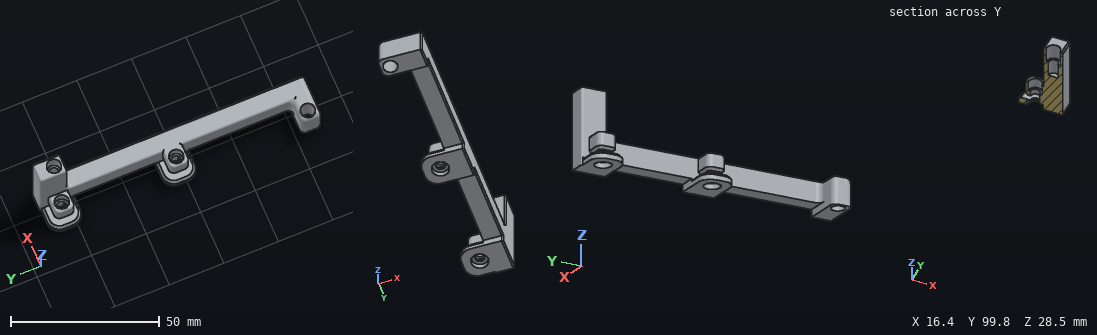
import cadquery as cq


bar_width = 7.1
bar_length = 99.75
bar_bottom = 2.75
bar_top = 10.8
tower_depth = 10.0
tower_height = 28.5
tower_root_radius = 2.0
edge_radius = 0.8
back_chamfer = 0.55

lug_x = -10.3
lug_spacing = 42.0
first_lug_y = -6.55
lug_ys = (first_lug_y, first_lug_y - lug_spacing)
boss_half_width = 3.55
boss_corner_radius = 2.0
boss_bottom = 4.55
boss_bottom_chamfer = 1.0
pad_margin = 2.5
pad_half_width = boss_half_width + pad_margin
pad_corner_radius = boss_corner_radius + pad_margin
pad_reach = 16.38
boss_reach = pad_reach - pad_margin
pad_height = bar_bottom
pad_chamfer = 0.9

rib_half_width = 1.5
rib_front_offset = 1.3

screw_diameter = 3.4
insert_diameter = 5.0
boss_insert_depth = 4.0
pad_recess_depth = 2.0
pad_recess_diameter = 6.0
tower_hole_x = -bar_width / 2
tower_insert_depth = 6.0
tower_pilot_depth = 12.0

foot_reach = 15.85
foot_depth = 7.6
foot_radius = 2.0
foot_hole_diameter = 5.0
foot_hole_x = -12.35

selection_margin = 0.1


def block(x_min, x_max, y_min, y_max, z_min, z_max):
    size = (x_max - x_min, y_max - y_min, z_max - z_min)
    return cq.Workplane("XY").box(*size, centered=False).translate((x_min, y_min, z_min))


def vertical_hole(x, y, z_min, z_max, diameter):
    return cq.Workplane("XY", origin=(x, y, z_min)).circle(diameter / 2).extrude(z_max - z_min)


def make_foot():
    """Tall end foot with rounded free corners and a rounded top rim."""
    y_min = -bar_length
    foot = block(-foot_reach, 0, y_min, y_min + foot_depth, 0, bar_top)
    foot = foot.edges("|Z and <X").fillet(foot_radius)
    return foot.faces(">Z").edges("not >X").fillet(foot_radius)


def make_frame():
    """L-shaped bar and tower with a rounded -X edge, joined to the end foot."""
    bar_end = -bar_length + foot_depth / 2
    frame = (
        cq.Workplane("YZ")
        .moveTo(0, bar_bottom)
        .lineTo(0, tower_height)
        .lineTo(-tower_depth, tower_height)
        .lineTo(-tower_depth, bar_top + tower_root_radius)
        .radiusArc((-tower_depth - tower_root_radius, bar_top), tower_root_radius)
        .lineTo(bar_end, bar_top)
        .lineTo(bar_end, bar_bottom)
        .close()
        .extrude(-bar_width)
    )
    front_edges = frame.faces("<X").edges("not(<Z or <Y)").vals()
    top_edges = frame.faces(">Z").edges("|X").vals()
    frame = frame.newObject(front_edges + top_edges).fillet(edge_radius)
    frame = frame.union(make_foot())

    corner_y = -bar_length + foot_depth
    corner_zone = cq.selectors.BoxSelector(
        (-bar_width - selection_margin, corner_y - foot_radius - selection_margin, bar_bottom),
        (-bar_width + edge_radius, corner_y + selection_margin, bar_top),
    )
    return frame.edges(corner_zone).fillet(foot_radius)


def make_tower_base():
    """Lower end of the tower, carried down beside the first pad to the ground."""
    base = block(-bar_width, 0, first_lug_y, 0, 0, bar_bottom)
    return base.edges("|Z and <X and >Y").fillet(edge_radius)


def make_boss(y):
    """Boss that runs into the bar, rounded on top and chamfered underneath."""
    y_min = y - boss_half_width
    y_max = y + boss_half_width
    boss = block(-boss_reach, -bar_width + edge_radius, y_min, y_max, boss_bottom, bar_top)
    boss = boss.edges("|Z and <X").fillet(boss_corner_radius)
    boss = boss.faces(">Z").edges("not >X").fillet(edge_radius)
    return boss.faces("<Z").edges("not >X").chamfer(boss_bottom_chamfer)


def make_pad(y):
    """Pad with a chamfered rim, carried by a plain block under the bar."""
    y_min = y - pad_half_width
    y_max = y + pad_half_width
    pad = block(-pad_reach, -bar_width, y_min, y_max, 0, pad_height)
    pad = pad.edges("|Z and <X").fillet(pad_corner_radius)
    pad = pad.faces(">Z").edges("not >X").chamfer(pad_chamfer)
    return pad.union(block(-bar_width, 0, y_min, y_max, 0, pad_height))


def make_rib(y):
    """Short rib between pad and boss, reaching out from the bar towards the screw."""
    return block(
        lug_x + rib_front_offset, -bar_width,
        y - rib_half_width, y + rib_half_width,
        pad_height, boss_bottom,
    )


def cut_lug_holes(part, y):
    """Through screw hole with an insert bore above and a screw head recess below."""
    screw_hole = vertical_hole(lug_x, y, 0, bar_top, screw_diameter)
    insert_bore = vertical_hole(lug_x, y, bar_top - boss_insert_depth, bar_top, insert_diameter)
    head_recess = vertical_hole(lug_x, y, 0, pad_recess_depth, pad_recess_diameter)
    return part.cut(screw_hole).cut(insert_bore).cut(head_recess)


def cut_tower_hole(part):
    """Blind stepped hole down the tower, in line with the first lug."""
    insert_floor = tower_height - tower_insert_depth
    pilot_floor = tower_height - tower_pilot_depth
    insert_bore = vertical_hole(tower_hole_x, first_lug_y, insert_floor, tower_height, insert_diameter)
    pilot = vertical_hole(tower_hole_x, first_lug_y, pilot_floor, tower_height, screw_diameter)
    return part.cut(insert_bore).cut(pilot)


def cut_foot_hole(part):
    """Straight hole through the end foot."""
    y = -bar_length + foot_depth / 2
    return part.cut(vertical_hole(foot_hole_x, y, 0, bar_top, foot_hole_diameter))


part = make_frame()
part = part.union(make_tower_base())
for lug_y in lug_ys:
    part = part.union(make_pad(lug_y)).union(make_boss(lug_y)).union(make_rib(lug_y))
part = part.faces(">X").edges().chamfer(back_chamfer)
for lug_y in lug_ys:
    part = cut_lug_holes(part, lug_y)
part = cut_tower_hole(part)
result = cut_foot_hole(part)